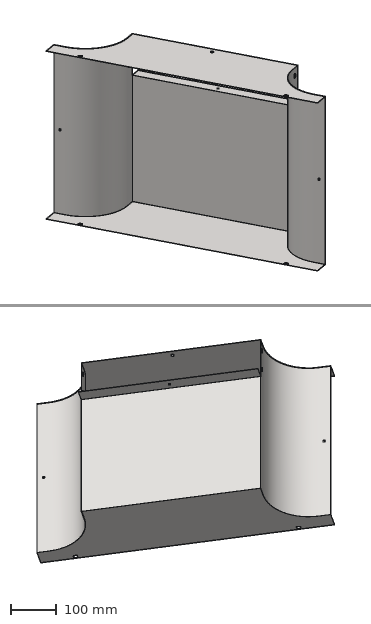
import cadquery as cq
import math

thickness = 1.0
width = 658.0
height = 401.0
depth = 198.0
back_width = 402.0
rear_flange = 30.0
flange_front = 38.5
bend_radius = 101.0
opening_height = 99.0

small_hole = 5.0
large_hole = 7.0
rear_hole_inset = 15.0
flange_hole_inset = 15.0
wall_slot_inset = 15.0
wall_slot_drops = (20.0, 70.0)
wall_slot_length = 10.0
slot_width = 8.0
plate_slot_x = 250.0
plate_slot_inset = 6.5
plate_slot_length = 9.0

half_width = width / 2
half_back = back_width / 2
panel_front = depth - rear_flange
flange_back = flange_front + thickness
outer_radius = bend_radius - thickness
bend_start_x = half_back + outer_radius
bend_end_y = flange_front + bend_radius
panel_top = height - opening_height
bend_half_angle = math.radians(45)


def bend_middle(radius, side):
    """Midpoint of a side wall quarter bend; side is -1 for left, +1 for right."""
    return (
        side * (bend_start_x - radius * math.cos(bend_half_angle)),
        bend_end_y - radius * math.sin(bend_half_angle),
    )


def end_plate(bottom):
    """Flat plate whose ends follow the outer face of both side walls."""
    outline = (
        cq.Workplane("XY", origin=(0, 0, bottom))
        .moveTo(-half_width, 0)
        .lineTo(half_width, 0)
        .lineTo(half_width, flange_back)
        .lineTo(bend_start_x, flange_back)
        .threePointArc(bend_middle(outer_radius, 1), (half_back, bend_end_y))
        .lineTo(half_back, panel_front)
        .lineTo(-half_back, panel_front)
        .lineTo(-half_back, bend_end_y)
        .threePointArc(bend_middle(outer_radius, -1), (-bend_start_x, flange_back))
        .lineTo(-half_width, flange_back)
        .close()
    )
    return outline.extrude(thickness)


def side_wall(side):
    """Curved wall: front flange, quarter bend, straight rear end."""
    inner_face = half_back - thickness
    outline = (
        cq.Workplane("XY")
        .moveTo(side * half_width, flange_front)
        .lineTo(side * bend_start_x, flange_front)
        .threePointArc(bend_middle(bend_radius, side), (side * inner_face, bend_end_y))
        .lineTo(side * inner_face, panel_front)
        .lineTo(side * half_back, panel_front)
        .lineTo(side * half_back, bend_end_y)
        .threePointArc(bend_middle(outer_radius, side), (side * bend_start_x, flange_back))
        .lineTo(side * half_width, flange_back)
        .close()
    )
    return outline.extrude(height)


def back_panel():
    """Back panel behind the side walls, with a lip turned rearward at its top."""
    center_x_only = (True, False, False)
    panel = cq.Workplane("XY", origin=(0, panel_front, 0)).box(
        back_width, thickness, panel_top, centered=center_x_only
    )
    lip = cq.Workplane("XY", origin=(0, panel_front, panel_top - thickness)).box(
        back_width, rear_flange, thickness, centered=center_x_only
    )
    return panel.union(lip)


def vertical_hole(y, diameter, bottom, top):
    """Upright round cutter on the mid plane, between two heights."""
    return cq.Workplane("XY", origin=(0, y, bottom)).circle(diameter / 2).extrude(top - bottom)


def rear_holes():
    """One hole in the top plate and one in the rear lip."""
    top_hole = vertical_hole(panel_front - rear_hole_inset, large_hole, panel_top, height)
    lip_hole = vertical_hole(panel_front + rear_hole_inset, small_hole, 0, panel_top)
    return top_hole.union(lip_hole)


def plate_slot(side):
    """Slot through both end plates: rounded outer end, square inner end."""
    inner_end = side * (plate_slot_x - plate_slot_length / 2)
    outer_end = side * (plate_slot_x + plate_slot_length / 2)
    round_start = outer_end - side * slot_width / 2
    front = plate_slot_inset - slot_width / 2
    back = plate_slot_inset + slot_width / 2
    outline = (
        cq.Workplane("XY")
        .moveTo(inner_end, front)
        .lineTo(round_start, front)
        .threePointArc((outer_end, plate_slot_inset), (round_start, back))
        .lineTo(inner_end, back)
        .close()
    )
    return outline.extrude(height)


def flange_holes():
    """One hole at mid height in each front flange."""
    hole_x = half_width - flange_hole_inset
    return (
        cq.Workplane("XZ", origin=(0, flange_back, 0))
        .pushPoints([(side * hole_x, height / 2) for side in (-1, 1)])
        .circle(small_hole / 2)
        .extrude(thickness)
    )


def wall_slots():
    """Two upright slots near the top of the straight rear end of each side wall."""
    hole_y = panel_front - wall_slot_inset
    return (
        cq.Workplane("YZ", origin=(-half_back, 0, 0))
        .pushPoints([(hole_y, height - drop) for drop in wall_slot_drops])
        .slot2D(wall_slot_length, slot_width, 90)
        .extrude(back_width)
    )


body = end_plate(0).union(end_plate(height - thickness))
for wall_side in (-1, 1):
    body = body.union(side_wall(wall_side))
body = body.union(back_panel())
for slot_side in (-1, 1):
    body = body.cut(plate_slot(slot_side))

result = body.cut(rear_holes()).cut(flange_holes()).cut(wall_slots())